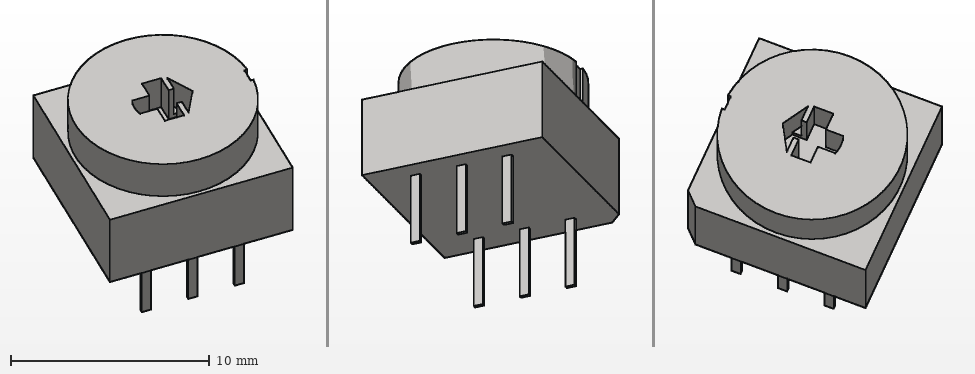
import cadquery as cq
import math

housing_width = 10.0
housing_height = 4.3
corner_chamfer = 0.7

dial_diameter = 9.6
dial_height = 2.2
notch_width = 0.8
notch_floor_y = 4.62

slot_width = 1.05
cross_arm_length = 1.49
cross_stem_radius = 1.57
cross_depth = 2.0
arrow_tip_y = 1.62
arrow_base_y = 0.81
arrow_half_width = 1.39
arrow_depth = 1.75

pin_length = 3.8
pin_thickness = 0.2
pin_width = 0.5
pin_row_spacing = 7.62
pin_pitch = 2.54
pins_per_row = 3

dial_top = housing_height + dial_height


def make_housing():
    block = cq.Workplane("XY").rect(housing_width, housing_width).extrude(housing_height)
    return block.edges("|Z and <X and >Y").chamfer(corner_chamfer)


def make_dial():
    housing_top = cq.Workplane("XY").workplane(offset=housing_height)
    dial = housing_top.circle(dial_diameter / 2).extrude(dial_height)
    notch_reach = dial_diameter / 2 - notch_floor_y
    notch = (
        housing_top.center(0, notch_floor_y + notch_reach)
        .rect(notch_width, 2 * notch_reach)
        .extrude(dial_height)
    )
    return dial.cut(notch)


def make_arrow():
    """Triangular recess aimed at the dial notch, shallower than the cross."""
    return (
        cq.Workplane("XY")
        .workplane(offset=dial_top)
        .moveTo(-arrow_half_width, arrow_base_y)
        .lineTo(arrow_half_width, arrow_base_y)
        .lineTo(0, arrow_tip_y)
        .close()
        .extrude(-arrow_depth)
    )


def make_cross():
    """Square-ended arms along X, with a stem along Y that is round at -Y and follows the arrow tip at +Y."""
    half_slot = slot_width / 2
    arrow_slope = (arrow_tip_y - arrow_base_y) / arrow_half_width
    shoulder_y = arrow_tip_y - arrow_slope * half_slot
    round_end_y = -math.sqrt(cross_stem_radius**2 - half_slot**2)
    return (
        cq.Workplane("XY")
        .workplane(offset=dial_top)
        .moveTo(0, arrow_tip_y)
        .lineTo(half_slot, shoulder_y)
        .lineTo(half_slot, half_slot)
        .lineTo(cross_arm_length, half_slot)
        .lineTo(cross_arm_length, -half_slot)
        .lineTo(half_slot, -half_slot)
        .lineTo(half_slot, round_end_y)
        .threePointArc((0, -cross_stem_radius), (-half_slot, round_end_y))
        .lineTo(-half_slot, -half_slot)
        .lineTo(-cross_arm_length, -half_slot)
        .lineTo(-cross_arm_length, half_slot)
        .lineTo(-half_slot, half_slot)
        .lineTo(-half_slot, shoulder_y)
        .close()
        .extrude(-cross_depth)
    )


def make_pins():
    return (
        cq.Workplane("XY")
        .rarray(pin_row_spacing, pin_pitch, 2, pins_per_row)
        .rect(pin_thickness, pin_width)
        .extrude(-pin_length)
    )


body = make_housing().union(make_dial()).union(make_pins())
result = body.cut(make_cross()).cut(make_arrow())